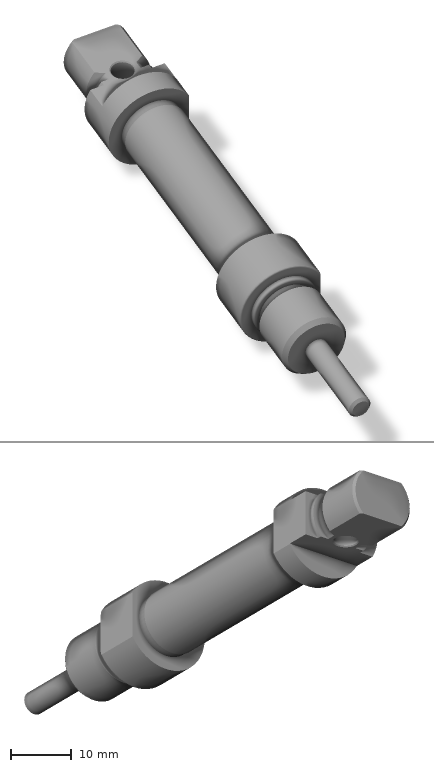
import cadquery as cq
overall_length = 96.0

cap_diameter = 16.0
cap_flat_offset = 6.9
thread_diameter = 11.9
thread_radius = thread_diameter / 2
groove_diameter = 9.8
groove_radius = groove_diameter / 2

rear_chamfer = 0.4
rear_groove_start = 8.5
rear_groove_end = 11.0
rear_groove_slope = 1.0
rear_flange_start = 11.9
rear_flange_end = 20.6
tang_length = 16.2
tang_thickness = 8.0
pivot_hole_diameter = 3.9
pivot_hole_chamfer = 0.2
pivot_hole_position = 10.1

tube_diameter = 11.4
tube_end_diameter = 11.1
tube_rear_step = 22.1
tube_front_step = 57.7

front_flange_start = 59.3
front_flange_end = 68.1
front_edge_fillet = 0.3
front_groove_start = 69.0
front_groove_end = 70.9
front_groove_slope = 0.5
front_cap_end = 80.0
front_chamfer_length = 0.9
front_chamfer_depth = 0.7

rod_diameter = 4.0
rod_chamfer = 0.5


def cylinder(start, end, diameter):
    """Solid cylinder along X between two stations."""
    return cq.Workplane("YZ", origin=(start, 0, 0)).circle(diameter / 2).extrude(end - start)


def revolve_profile(points):
    """Revolve (x, radius) points, closed along the axis, about the X axis."""
    first_x = points[0][0]
    last_x = points[-1][0]
    outline = [(first_x, 0)] + points + [(last_x, 0)]
    return cq.Workplane("XY").polyline(outline).close().revolve(360, (0, 0, 0), (1, 0, 0))


def cut_cap_flat(flange, start, end):
    """Cut the flat on the +Y side of a round flange."""
    depth = cap_diameter / 2 - cap_flat_offset
    cutter = cq.Workplane("XY").box(end - start, depth, cap_diameter, centered=(False, False, True))
    return flange.cut(cutter.translate((start, cap_flat_offset, 0)))


def make_rear_cap():
    stud = revolve_profile([
        (0, thread_radius - rear_chamfer),
        (rear_chamfer, thread_radius),
        (rear_groove_start, thread_radius),
        (rear_groove_start + rear_groove_slope, groove_radius),
        (rear_groove_end, groove_radius),
        (rear_groove_end, thread_radius),
        (rear_flange_start, thread_radius),
    ])
    flange = cylinder(rear_flange_start, rear_flange_end, cap_diameter)
    flange = cut_cap_flat(flange, rear_flange_start, rear_flange_end)
    cap = stud.union(flange)

    side_cut = cq.Workplane("XY").box(
        tang_length, cap_diameter, cap_diameter, centered=(False, True, False)
    )
    cap = cap.cut(side_cut.translate((0, 0, tang_thickness / 2)))
    cap = cap.cut(side_cut.translate((0, 0, -tang_thickness / 2 - cap_diameter)))

    hole_radius = pivot_hole_diameter / 2
    mouth_radius = hole_radius + pivot_hole_chamfer
    mouth_height = tang_thickness / 2
    straight_height = mouth_height - pivot_hole_chamfer
    hole = (
        cq.Workplane("XZ")
        .polyline([
            (0, -mouth_height),
            (mouth_radius, -mouth_height),
            (hole_radius, -straight_height),
            (hole_radius, straight_height),
            (mouth_radius, mouth_height),
            (0, mouth_height),
        ])
        .close()
        .revolve(360, (0, 0, 0), (0, 1, 0))
        .translate((pivot_hole_position, 0, 0))
    )
    return cap.cut(hole)


def make_tube():
    """Barrel with slightly narrower ends."""
    ends = cylinder(rear_flange_end, front_flange_start, tube_end_diameter)
    return ends.union(cylinder(tube_rear_step, tube_front_step, tube_diameter))


def make_front_cap():
    flange = cylinder(front_flange_start, front_flange_end, cap_diameter)
    flange = flange.faces(">X").edges().fillet(front_edge_fillet)
    flange = cut_cap_flat(flange, front_flange_start, front_flange_end)

    collar = cylinder(front_flange_end, front_groove_start, thread_diameter)
    collar = collar.faces(">X").edges().fillet(front_edge_fillet)

    stud = revolve_profile([
        (front_groove_start, groove_radius),
        (front_groove_end - front_groove_slope, groove_radius),
        (front_groove_end, thread_radius),
        (front_cap_end - front_chamfer_length, thread_radius),
        (front_cap_end, thread_radius - front_chamfer_depth),
    ])
    return flange.union(collar).union(stud)


def make_rod():
    rod = cylinder(front_cap_end, overall_length, rod_diameter)
    return rod.faces(">X").chamfer(rod_chamfer)


rear_cap = make_rear_cap()
tube = make_tube()
front_cap = make_front_cap()
rod = make_rod()

result = cq.Compound.makeCompound([rear_cap.val(), tube.val(), front_cap.val(), rod.val()])